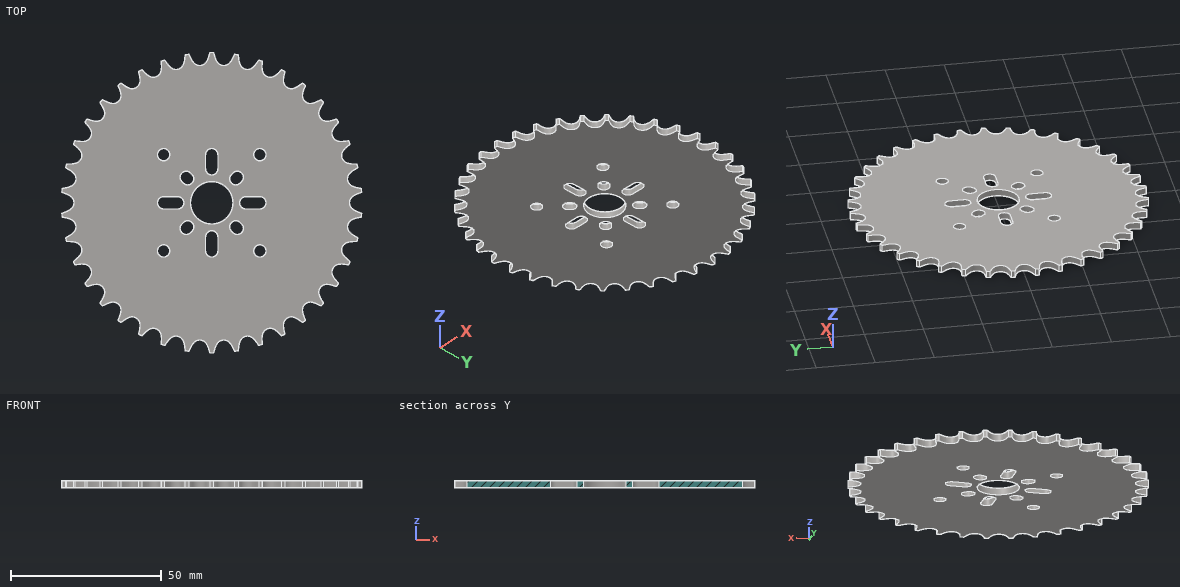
import cadquery as cq
import math

thickness = 2.4
tooth_count = 38
tip_radius = 50.1

chain_pitch = 8.0
roller_diameter = 5.0

bore_diameter = 14.0
hole_diameter = 4.0
corner_hole_spacing = 32.1
slot_inner_radius = 11.3
straight_slot_outer_radius = corner_hole_spacing / 2
diagonal_slot_outer_radius = 12.0

seat_clearance = 0.08
half_tooth_angle = math.pi / tooth_count
pitch_radius = chain_pitch / (2 * math.sin(half_tooth_angle))
seat_radius = 0.5025 * roller_diameter + seat_clearance
seat_end_slope = math.radians(35 + 60 / tooth_count)
working_sweep = math.radians(18 - 56 / tooth_count)
pressure_slope = math.radians(17 - 64 / tooth_count)
working_center_distance = 0.8 * roller_diameter
topping_center_distance = 1.4 * roller_diameter
working_radius = working_center_distance + seat_radius
straight_length = (
    topping_center_distance * math.sin(pressure_slope)
    - working_center_distance * math.sin(working_sweep)
)
topping_radius = (
    working_center_distance * math.cos(working_sweep)
    + topping_center_distance * math.cos(pressure_slope)
    - working_radius
)


def polar(radius, angle):
    return radius * math.cos(angle), radius * math.sin(angle)


def shifted(point, distance, angle):
    """Point reached by moving a distance in the direction of an angle."""
    step_x, step_y = polar(distance, angle)
    return point[0] + step_x, point[1] + step_y


def turned(point, angle):
    """Point turned about the sprocket axis."""
    x, y = point
    return polar(math.hypot(x, y), math.atan2(y, x) + angle)


def mirrored(point):
    return point[0], -point[1]


def flank_points():
    """Outline points from the seat end out to the tooth tip.

    The gap is centred on the +X axis and the points lie on its +Y side.
    """
    seat_center = (pitch_radius, 0)
    seat_end_angle = math.pi / 2 + seat_end_slope
    seat_end = shifted(seat_center, seat_radius, seat_end_angle)

    working_center = shifted(seat_center, working_center_distance, seat_end_angle + math.pi)
    working_end_angle = seat_end_angle - working_sweep
    working_middle = shifted(working_center, working_radius, seat_end_angle - working_sweep / 2)
    working_end = shifted(working_center, working_radius, working_end_angle)

    straight_end = shifted(working_end, straight_length, working_end_angle - math.pi / 2)

    topping_center = shifted(seat_center, topping_center_distance, math.pi / 2 + half_tooth_angle)
    center_radius = math.hypot(*topping_center)
    tip_cosine = (center_radius**2 + tip_radius**2 - topping_radius**2) / (
        2 * center_radius * tip_radius
    )
    tip_angle = math.atan2(topping_center[1], topping_center[0]) - math.acos(tip_cosine)
    tip_corner = polar(tip_radius, tip_angle)
    topping_start_angle = working_end_angle - math.pi
    topping_end_angle = math.atan2(
        tip_corner[1] - topping_center[1], tip_corner[0] - topping_center[0]
    )
    topping_middle_angle = (topping_start_angle + topping_end_angle) / 2
    topping_middle = shifted(topping_center, topping_radius, topping_middle_angle)

    return seat_end, working_middle, working_end, straight_end, topping_middle, tip_corner


def toothed_plate():
    flank = flank_points()
    seat_bottom = (pitch_radius - seat_radius, 0)
    tooth_angle = 2 * half_tooth_angle
    first_gap = math.pi / 2 + half_tooth_angle
    outline = cq.Workplane("XY").moveTo(*turned(mirrored(flank[-1]), first_gap))
    for gap in range(tooth_count):
        angle = first_gap + gap * tooth_angle
        near_side = [turned(mirrored(point), angle) for point in flank]
        far_side = [turned(point, angle) for point in flank]
        next_tip = polar(tip_radius, angle + half_tooth_angle)
        next_corner = turned(near_side[-1], tooth_angle)
        seat_start, near_working, near_straight_end, near_straight_start, near_topping, _ = near_side
        seat_end, far_working, far_straight_start, far_straight_end, far_topping, tip_corner = far_side
        outline = (
            outline
            .threePointArc(near_topping, near_straight_start)
            .lineTo(*near_straight_end)
            .threePointArc(near_working, seat_start)
            .threePointArc(turned(seat_bottom, angle), seat_end)
            .threePointArc(far_working, far_straight_start)
            .lineTo(*far_straight_end)
            .threePointArc(far_topping, tip_corner)
            .threePointArc(next_tip, next_corner)
        )
    return outline.close().extrude(thickness)


def radial_slots(outer_radius, start_angle):
    """Four round-ended slots along the radius; start_angle in degrees."""
    center_radius = (slot_inner_radius + outer_radius) / 2
    length = outer_radius - slot_inner_radius + hole_diameter
    return (
        cq.Workplane("XY")
        .polarArray(center_radius, start_angle, 360, 4)
        .slot2D(length, hole_diameter)
        .extrude(thickness)
    )


def corner_holes():
    return (
        cq.Workplane("XY")
        .rect(corner_hole_spacing, corner_hole_spacing, forConstruction=True)
        .vertices()
        .circle(hole_diameter / 2)
        .extrude(thickness)
    )


bore = cq.Workplane("XY").circle(bore_diameter / 2).extrude(thickness)

result = (
    toothed_plate()
    .cut(bore)
    .cut(corner_holes())
    .cut(radial_slots(straight_slot_outer_radius, 0))
    .cut(radial_slots(diagonal_slot_outer_radius, 45))
)